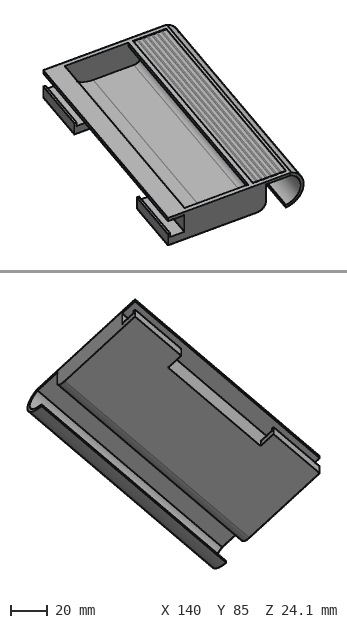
import cadquery as cq
import math

LENGTH = 140.0
TOTAL_DEPTH = 85.0
WALL = 2.0
END_WALL = 2.8

BODY_HEIGHT = 20.0
BODY_FRONT = 10.2
BODY_BACK = 61.5
BODY_BACK_RADIUS = 6.0

HOOK_RADIUS = 12.6
HOOK_CENTER_Z = -11.6
HOOK_END_Y = 73.8
HOOK_CENTER_Y = TOTAL_DEPTH - HOOK_RADIUS

BACK_WALL = 1.4
FLOOR_THICKNESS = 2.2
LEDGE_THICKNESS = 2.4
POCKET_BACK_RADIUS = 4.9
OPENING_FRONT = 11.9
OPENING_BACK = 51.7
FRONT_SCOOP_RADIUS = 17.8

FRONT_PLATE_THICKNESS = 2.4
CLIP_LENGTH = 35.0
CLIP_FLOOR_Z = -14.4
LIP_TOP_Z = -11.9
LIP_THICKNESS = 1.4

GRIP_FRONT = 54.6
GRIP_BACK = 75.3
GROOVE_COUNT = 7
GROOVE_DEPTH = 0.7
GROOVE_HALF_WIDTH = 1.4
GROOVE_RADIUS = (GROOVE_HALF_WIDTH**2 + GROOVE_DEPTH**2) / (2 * GROOVE_DEPTH)
GROOVE_CENTER_Z = GROOVE_RADIUS - GROOVE_DEPTH
GROOVE_PITCH = (GRIP_BACK - GRIP_FRONT - 2 * GROOVE_HALF_WIDTH) / (GROOVE_COUNT - 1)
RIDGE_HALF_WIDTH = 0.4


def profile_plane(x):
    """Sketch plane whose local axes are global Y and Z, extruding toward +X."""
    return cq.Workplane("YZ", origin=(x, 0, 0))


def block(x0, x1, y0, y1, z0, z1):
    """Box between opposite corners."""
    return cq.Workplane("XY").box(x1 - x0, y1 - y0, z1 - z0, centered=False).translate((x0, y0, z0))


def hook_point_at_z(radius, z):
    """Back point of a hook circle at height z."""
    return HOOK_CENTER_Y + math.sqrt(radius**2 - (z - HOOK_CENTER_Z) ** 2), z


def hook_point_at_end(radius):
    """Lower point of a hook circle at the trimmed end."""
    return HOOK_END_Y, HOOK_CENTER_Z - math.sqrt(radius**2 - (HOOK_END_Y - HOOK_CENTER_Y) ** 2)


def make_plate_and_hook():
    inner_radius = HOOK_RADIUS - WALL
    return (
        profile_plane(0)
        .moveTo(0, 0)
        .lineTo(*hook_point_at_z(HOOK_RADIUS, 0))
        .threePointArc((HOOK_CENTER_Y + HOOK_RADIUS, HOOK_CENTER_Z), hook_point_at_end(HOOK_RADIUS))
        .lineTo(*hook_point_at_end(inner_radius))
        .threePointArc(
            (HOOK_CENTER_Y + inner_radius, HOOK_CENTER_Z),
            hook_point_at_z(inner_radius, -WALL),
        )
        .lineTo(BODY_FRONT, -WALL)
        .lineTo(BODY_FRONT, -FRONT_PLATE_THICKNESS)
        .lineTo(0, -FRONT_PLATE_THICKNESS)
        .close()
        .extrude(LENGTH)
    )


def make_body():
    body = block(0, LENGTH, BODY_FRONT, BODY_BACK, -BODY_HEIGHT, 0)
    return body.edges("|X and >Y and <Z").fillet(BODY_BACK_RADIUS)


def make_clip(x):
    arm = block(x, x + CLIP_LENGTH, 0, BODY_FRONT, -BODY_HEIGHT, CLIP_FLOOR_Z)
    lip = block(x, x + CLIP_LENGTH, 0, LIP_THICKNESS, CLIP_FLOOR_Z, LIP_TOP_Z)
    return arm.union(lip)


def make_pocket():
    """Tray with a scooped front that reaches back under the top plate."""
    inside_length = LENGTH - 2 * END_WALL
    floor_z = FLOOR_THICKNESS - BODY_HEIGHT
    cavity_back = BODY_BACK - BACK_WALL
    cavity = block(END_WALL, LENGTH - END_WALL, OPENING_FRONT, cavity_back, floor_z, -LEDGE_THICKNESS)
    cavity = cavity.edges("|X and >Y and <Z").fillet(POCKET_BACK_RADIUS)
    opening = block(END_WALL, LENGTH - END_WALL, OPENING_FRONT, OPENING_BACK, -LEDGE_THICKNESS, 0)
    scoop_y = OPENING_FRONT + FRONT_SCOOP_RADIUS
    scoop_z = floor_z + FRONT_SCOOP_RADIUS
    diagonal = FRONT_SCOOP_RADIUS * math.sqrt(0.5)
    scoop = (
        profile_plane(END_WALL)
        .moveTo(OPENING_FRONT, floor_z)
        .lineTo(scoop_y, floor_z)
        .threePointArc((scoop_y - diagonal, scoop_z - diagonal), (OPENING_FRONT, scoop_z))
        .close()
        .extrude(inside_length)
    )
    return cavity.union(opening).cut(scoop)


def make_grip():
    """Recess with concave grooves joined by tangent rounded ridges just below the top face."""
    inner_half_width = GROOVE_PITCH / 2 - RIDGE_HALF_WIDTH
    join_angle = math.asin(inner_half_width / GROOVE_RADIUS)
    join_z = GROOVE_CENTER_Z - GROOVE_RADIUS * math.cos(join_angle)
    ridge_radius = RIDGE_HALF_WIDTH / math.sin(join_angle)
    ridge_top_z = join_z + ridge_radius * (1 - math.cos(join_angle))

    outline = profile_plane(END_WALL).moveTo(GRIP_FRONT, 0)
    first_groove_y = GRIP_FRONT + GROOVE_HALF_WIDTH
    for i in range(GROOVE_COUNT - 1):
        groove_y = first_groove_y + i * GROOVE_PITCH
        ridge_y = groove_y + GROOVE_PITCH / 2
        outline = outline.threePointArc((groove_y, -GROOVE_DEPTH), (ridge_y - RIDGE_HALF_WIDTH, join_z))
        outline = outline.threePointArc((ridge_y, ridge_top_z), (ridge_y + RIDGE_HALF_WIDTH, join_z))
    outline = outline.threePointArc((GRIP_BACK - GROOVE_HALF_WIDTH, -GROOVE_DEPTH), (GRIP_BACK, 0))
    return outline.close().extrude(LENGTH - 2 * END_WALL)


result = make_plate_and_hook().union(make_body())
for clip_x in (0, LENGTH - CLIP_LENGTH):
    result = result.union(make_clip(clip_x))
result = result.cut(make_pocket())
result = result.cut(make_grip())